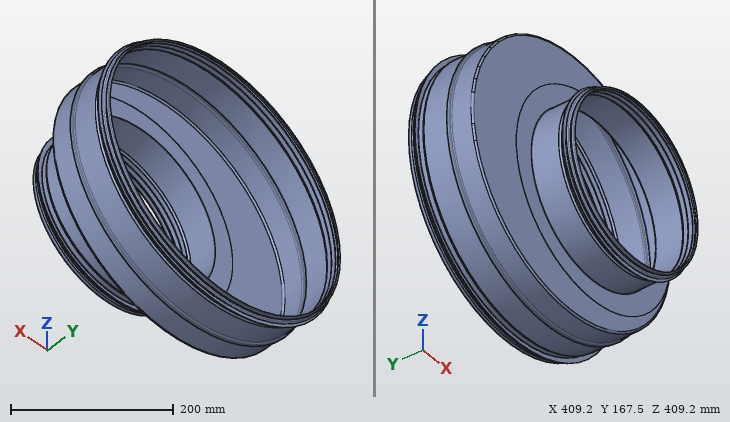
import cadquery as cq

SHEET = 0.5
LARGE_RADIUS = 398.8 / 2
SMALL_RADIUS = 248.9 / 2
LARGE_LENGTH = 101.0
SMALL_LENGTH = 66.5
AXIS_OFFSET = 43.45

FLANGE_RADIUS = SMALL_RADIUS + 30.0
FLANGE_BEND = 0.5
PLATE_BEND = 3.0

CURL_RADIUS = 1.45

GROOVE_DEPTH = 2.4
GROOVE_LIP = 5.3
GROOVE_FRONT_SLOPE = 1.7
GROOVE_BACK = 21.8
GROOVE_BACK_SLOPE = 3.0

BEAD_HEIGHT = 2.5
BEAD_PLACE = 64.3
BEAD_BEND = BEAD_HEIGHT / 2
BEAD_CREST = 3.2

BAND_THICKNESS = 0.6
BAND_START = GROOVE_LIP + GROOVE_FRONT_SLOPE
SLANTED_FIN_BASE = 1.2
SLANTED_FIN_HEIGHT = 5.1
SLANTED_FIN_SHOULDER = 2.0
SLANTED_FIN_SHOULDER_HEIGHT = 3.2
SLANTED_FIN_LEAN = 3.3
SLANTED_FIN_TIP = 0.8
STRAIGHT_FIN_HEIGHT = 7.6
STRAIGHT_FIN_START = 14.2
STRAIGHT_FIN_THICKNESS = 1.2


def turn(profile):
    """Revolve a profile of (radius, Y) points about the Y axis."""
    return profile.close().revolve(360, (0, 0, 0), (0, 1, 0))


def grooved_wall(radius):
    """Points of a wall surface with the gasket groove, from the end curl onwards."""
    floor = radius - GROOVE_DEPTH
    return [
        (radius, CURL_RADIUS),
        (radius, GROOVE_LIP),
        (floor, GROOVE_LIP + GROOVE_FRONT_SLOPE),
        (floor, GROOVE_BACK),
        (radius, GROOVE_BACK + GROOVE_BACK_SLOPE),
    ]


def end_curl(profile, radius):
    """Carry a profile from the inner wall round the curl at Y = 0 to the outer wall."""
    outer_edge = radius - 2 * CURL_RADIUS
    inner_curl_radius = CURL_RADIUS - SHEET
    return (
        profile.radiusArc((outer_edge + SHEET, CURL_RADIUS), inner_curl_radius)
        .lineTo(outer_edge, CURL_RADIUS)
        .radiusArc((radius, CURL_RADIUS), -CURL_RADIUS)
    )


def bead(profile, radius, crest_bend, direction):
    """Carry a profile along a wall, toward +Y or -Y (direction 1 or -1), over the stiffening bead."""
    base_bend = BEAD_HEIGHT - crest_bend
    crest = radius + BEAD_HEIGHT
    half_crest = direction * BEAD_CREST / 2
    half_side = half_crest + direction * crest_bend
    half_base = half_side + direction * base_bend
    base_arc = direction * base_bend
    crest_arc = -direction * crest_bend
    return (
        profile.lineTo(radius, BEAD_PLACE - half_base)
        .radiusArc((radius + base_bend, BEAD_PLACE - half_side), base_arc)
        .radiusArc((crest, BEAD_PLACE - half_crest), crest_arc)
        .lineTo(crest, BEAD_PLACE + half_crest)
        .radiusArc((radius + base_bend, BEAD_PLACE + half_side), crest_arc)
        .radiusArc((radius, BEAD_PLACE + half_base), base_arc)
    )


def make_large_spigot():
    """Large spigot with its end plate, open end at Y = 0 and plate at Y = LARGE_LENGTH."""
    inside = LARGE_RADIUS - SHEET
    inner_bend = PLATE_BEND - SHEET
    inner_face = LARGE_LENGTH - SHEET
    profile = cq.Workplane("XY").polyline(grooved_wall(LARGE_RADIUS))
    profile = bead(profile, LARGE_RADIUS, BEAD_BEND, 1)
    profile = (
        profile.lineTo(LARGE_RADIUS, LARGE_LENGTH - PLATE_BEND)
        .radiusArc((LARGE_RADIUS - PLATE_BEND, LARGE_LENGTH), -PLATE_BEND)
        .lineTo(0, LARGE_LENGTH)
        .lineTo(0, inner_face)
        .lineTo(inside - inner_bend, inner_face)
        .radiusArc((inside, inner_face - inner_bend), inner_bend)
    )
    profile = bead(profile, inside, BEAD_BEND - SHEET, -1)
    profile = profile.polyline(grooved_wall(inside)[::-1], includeCurrent=True)
    return turn(end_curl(profile, LARGE_RADIUS))


def make_collar():
    """Small spigot with its flange, open end at Y = 0."""
    inside = SMALL_RADIUS - SHEET
    flange_face = SMALL_LENGTH + SHEET
    flange_back = flange_face + SHEET
    back_bend = FLANGE_BEND + SHEET
    profile = (
        cq.Workplane("XY")
        .polyline(grooved_wall(SMALL_RADIUS))
        .lineTo(SMALL_RADIUS, flange_face - FLANGE_BEND)
        .radiusArc((SMALL_RADIUS + FLANGE_BEND, flange_face), FLANGE_BEND)
        .lineTo(FLANGE_RADIUS, flange_face)
        .lineTo(FLANGE_RADIUS, flange_back)
        .lineTo(inside + back_bend, flange_back)
        .radiusArc((inside, flange_back - back_bend), -back_bend)
        .polyline(grooved_wall(inside)[::-1], includeCurrent=True)
    )
    return turn(end_curl(profile, SMALL_RADIUS))


def make_gasket(spigot_radius):
    """Rubber band with a slanted and a straight fin, for a spigot with its open end at Y = 0."""
    floor = spigot_radius - GROOVE_DEPTH
    band = floor + BAND_THICKNESS
    slanted_tip = floor + SLANTED_FIN_HEIGHT
    straight_tip = floor + STRAIGHT_FIN_HEIGHT
    lean_end = BAND_START + SLANTED_FIN_LEAN
    straight_end = STRAIGHT_FIN_START + STRAIGHT_FIN_THICKNESS
    profile = cq.Workplane("XY").polyline([
        (floor, BAND_START),
        (band, BAND_START),
        (floor + SLANTED_FIN_SHOULDER_HEIGHT, BAND_START + SLANTED_FIN_SHOULDER),
        (slanted_tip, lean_end),
        (slanted_tip, lean_end + SLANTED_FIN_TIP),
        (band, BAND_START + SLANTED_FIN_BASE),
        (band, STRAIGHT_FIN_START),
        (straight_tip, STRAIGHT_FIN_START),
        (straight_tip, straight_end),
        (band, straight_end),
        (band, GROOVE_BACK),
        (floor, GROOVE_BACK),
    ])
    return turn(profile)


def place_at_large_end(body):
    """Turn the open end to +Y, with the end plate's face at Y = 0."""
    return body.rotate((0, 0, 0), (0, 0, 1), 180).translate((0, LARGE_LENGTH, 0))


def place_at_small_end(body):
    """Leave the open end at -Y, on the offset axis."""
    return body.translate((AXIS_OFFSET, -SMALL_LENGTH, 0))


def disc(radius, front):
    """Sheet-thick disc on the offset axis, with its -Y face at the given Y."""
    back_plane = cq.Workplane("XZ", origin=(AXIS_OFFSET, front + SHEET, 0))
    return back_plane.circle(radius).extrude(SHEET)


collar = place_at_small_end(make_collar())
large_spigot = place_at_large_end(make_large_spigot())
large_spigot = large_spigot.cut(disc(SMALL_RADIUS + FLANGE_BEND, 0))
large_spigot = large_spigot.cut(disc(FLANGE_RADIUS, SHEET))
large_gasket = place_at_large_end(make_gasket(LARGE_RADIUS))
small_gasket = place_at_small_end(make_gasket(SMALL_RADIUS))

result = cq.Compound.makeCompound([
    large_spigot.val(),
    collar.val(),
    large_gasket.val(),
    small_gasket.val(),
])